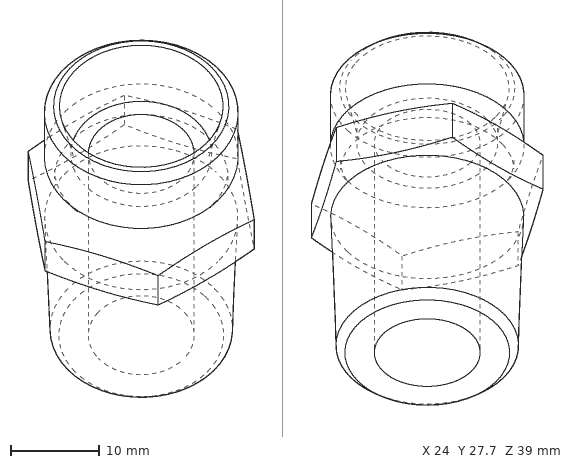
import cadquery as cq
import math

total_height = 39.0
hex_bottom = 20.0
hex_height = 6.0
hex_top = hex_bottom + hex_height

hex_across_flats = 24.0
hex_chamfer_angle = 15.0

thread_radius = 22.0 / 2
thread_bottom = 30.5
thread_chamfer = 1.05
groove_radius = 19.7 / 2
groove_fillet = 0.9
groove_cone_angle = 30.0

taper_top_radius = 10.95
taper_per_side = 1 / 32
tip_chamfer = 1.0

mouth_radius = 9.3
socket_radius = 16.0 / 2
socket_cone_angle = 12.0
socket_depth = 8.1
bore_radius = 12.0 / 2


def tangent(degrees):
    return math.tan(math.radians(degrees))


def revolve_profile(profile):
    """Turn a closed (radius, height) profile about the Z axis."""
    return profile.close().revolve(360, (0, 0, 0), (0, 1, 0))


def make_lower_thread():
    tip_radius = taper_top_radius - (hex_bottom - tip_chamfer) * taper_per_side
    return revolve_profile(
        cq.Workplane("XZ")
        .lineTo(tip_radius - tip_chamfer, 0)
        .lineTo(tip_radius, tip_chamfer)
        .lineTo(taper_top_radius, hex_bottom)
        .lineTo(0, hex_bottom)
    )


def make_hexagon():
    flat_radius = hex_across_flats / 2
    corner_radius = flat_radius / math.cos(math.radians(30))
    chamfer_height = (corner_radius - flat_radius) * tangent(hex_chamfer_angle)
    prism = (
        cq.Workplane("XY", origin=(0, 0, hex_bottom))
        .polygon(6, 2 * corner_radius)
        .extrude(hex_height)
        .rotate((0, 0, 0), (0, 0, 1), 30)
    )
    chamfer_envelope = revolve_profile(
        cq.Workplane("XZ", origin=(0, 0, hex_bottom))
        .lineTo(flat_radius, 0)
        .lineTo(corner_radius, chamfer_height)
        .lineTo(corner_radius, hex_height - chamfer_height)
        .lineTo(flat_radius, hex_height)
        .lineTo(0, hex_height)
    )
    return prism.intersect(chamfer_envelope)


def make_upper_thread():
    cone_foot = thread_bottom - (thread_radius - groove_radius) / tangent(groove_cone_angle)
    fillet_length = groove_fillet * tangent(groove_cone_angle / 2)
    fillet_end_radius = groove_radius + fillet_length * math.sin(math.radians(groove_cone_angle))
    fillet_end_height = cone_foot + fillet_length * math.cos(math.radians(groove_cone_angle))
    return revolve_profile(
        cq.Workplane("XZ")
        .moveTo(0, hex_top)
        .lineTo(groove_radius + groove_fillet, hex_top)
        .radiusArc((groove_radius, hex_top + groove_fillet), groove_fillet)
        .lineTo(groove_radius, cone_foot - fillet_length)
        .radiusArc((fillet_end_radius, fillet_end_height), groove_fillet)
        .lineTo(thread_radius, thread_bottom)
        .lineTo(thread_radius, total_height - thread_chamfer)
        .lineTo(thread_radius - thread_chamfer, total_height)
        .lineTo(0, total_height)
    )


def make_passage():
    cone_depth = (mouth_radius - socket_radius) / tangent(socket_cone_angle)
    socket_floor = total_height - socket_depth
    return revolve_profile(
        cq.Workplane("XZ")
        .lineTo(bore_radius, 0)
        .lineTo(bore_radius, socket_floor)
        .lineTo(socket_radius, socket_floor)
        .lineTo(socket_radius, total_height - cone_depth)
        .lineTo(mouth_radius, total_height)
        .lineTo(0, total_height)
    )


body = make_lower_thread().union(make_hexagon()).union(make_upper_thread())
result = body.cut(make_passage())